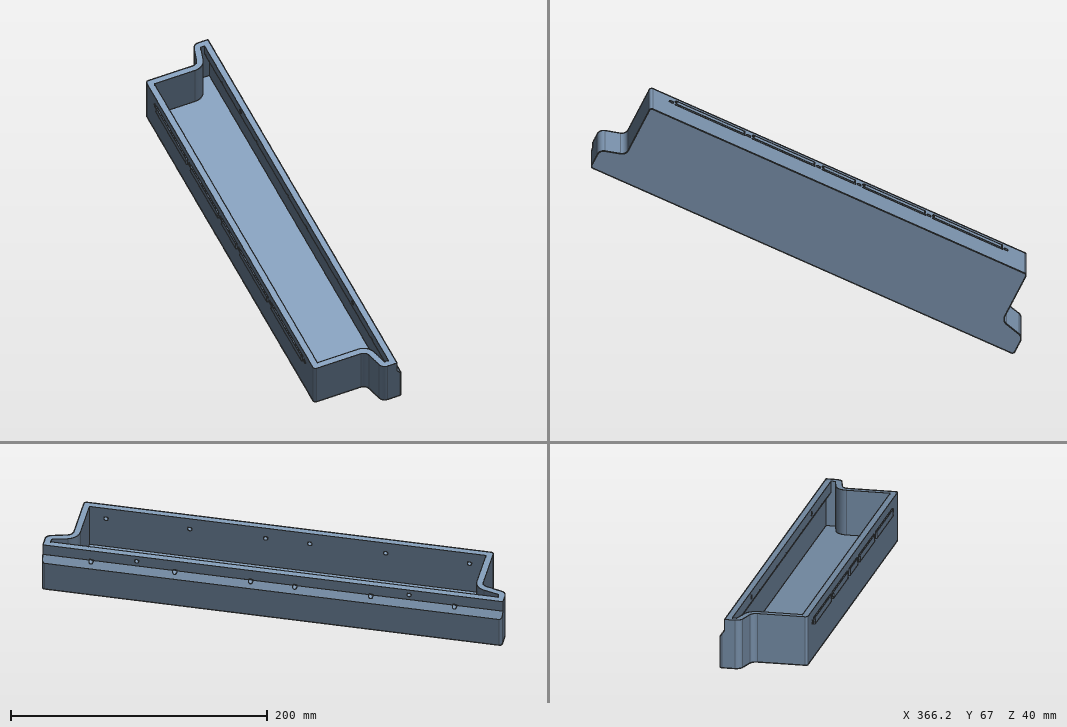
import cadquery as cq
import math

length = 366.2
height = 40.0
overall_depth = 67.0
bar_rise = 1.0
tray_depth = overall_depth - bar_rise

wall = 5.0
floor_thickness = 3.3
base_chamfer = 0.5

box_half_length = 163.0
shoulder_y = 16.5
shoulder_angle = math.radians(15)
shoulder_radius = 5.5
neck_radius = 5.5
corner_radius = 2.2

step_inset = 4.0
step_top = 9.0
step_drop = 5.5

screw_hole_half_spans = [144.5, 78.0, 17.5]
screw_hole_diameter = 3.4
screw_hole_z = -10.0

small_hole_half_span = 108.5
small_hole_diameter = 3.3
small_hole_z = -4.8

bar_height = 5.5
bar_clearance_base_radius = 4.0
bar_clearance_top_radius = 4.5

screw_hole_xs = sorted([-x for x in screw_hole_half_spans] + screw_hole_half_spans)


def plan_points(inset):
    """Right half of the plan outline from the rear to the front, with walls moved in by inset."""
    half_length = length / 2 - inset
    box_half = box_half_length - inset
    slope = math.tan(shoulder_angle)
    shoulder = shoulder_y - inset / math.cos(shoulder_angle) + inset * slope
    neck = shoulder + (half_length - box_half) * slope
    return [
        (half_length, 0),
        (half_length, -shoulder),
        (box_half, -neck),
        (box_half, inset - tray_depth),
    ]


def plan_prism(inset, bottom_z, top_z):
    """Upright prism on the full plan outline."""
    right = plan_points(inset)
    left = [(-x, y) for x, y in reversed(right)]
    base = cq.Workplane("XY").workplane(offset=bottom_z)
    return base.polyline(right + left).close().extrude(top_z - bottom_z)


def round_corners(body, corner, radius):
    """Fillet the upright edges at a plan corner and at its mirror image."""
    x, y = corner
    reach = 0.5
    for edge_x in (x, -x):
        around_edge = cq.selectors.BoxSelector(
            (edge_x - reach, y - reach, -height), (edge_x + reach, y + reach, height)
        )
        body = body.edges("|Z").edges(around_edge).fillet(radius)
    return body


def behind_rear_wall(offset, top_z):
    """Space behind the stepped rear profile, with the profile moved forward by offset."""
    upper_y = -step_inset - offset
    profile = [
        (upper_y, top_z),
        (upper_y, -step_top),
        (-offset, -step_top - step_drop),
        (-offset, -2 * height),
        (length, -2 * height),
        (length, top_z),
    ]
    return cq.Workplane("YZ").polyline(profile).close().extrude(length, both=True)


def make_shell_outside():
    """Solid tray block with rounded corners, chamfered base and stepped rear."""
    rear, shoulder, neck, front = plan_points(0)
    block = plan_prism(0, -height, 0)
    block = round_corners(block, shoulder, shoulder_radius)
    block = round_corners(block, neck, neck_radius)
    block = round_corners(block, rear, corner_radius)
    block = round_corners(block, front, corner_radius)
    block = block.faces("<Z").edges().chamfer(base_chamfer)
    return block.cut(behind_rear_wall(0, height))


def make_cavity():
    """Open-topped inside of the tray; its rear follows the step in the wall."""
    neck = plan_points(wall)[2]
    cavity = plan_prism(wall, floor_thickness - height, height)
    cavity = round_corners(cavity, neck, neck_radius + wall)
    return cavity.cut(behind_rear_wall(wall, 2 * height))


def make_bar(start_x, end_x):
    """Raised bar between two screw holes, cut back in a cone around each of them."""
    bar = cq.Workplane("XY").box(end_x - start_x, bar_rise, bar_height)
    bar = bar.translate(((start_x + end_x) / 2, -tray_depth - bar_rise / 2, screw_hole_z))
    for hole_x in (start_x, end_x):
        clearance = cq.Solid.makeCone(
            bar_clearance_base_radius,
            bar_clearance_top_radius,
            bar_rise,
            cq.Vector(hole_x, -tray_depth, screw_hole_z),
            cq.Vector(0, -1, 0),
        )
        bar = bar.cut(cq.Workplane("XY").add(clearance))
    return bar


def make_holes(xs, z, diameter, reach):
    """Round holes along Y, running forward from the rear plane by reach."""
    centers = [(x, z) for x in xs]
    return cq.Workplane("XZ").pushPoints(centers).circle(diameter / 2).extrude(reach)


def make_tray():
    tray = make_shell_outside().cut(make_cavity())
    for start_x, end_x in zip(screw_hole_xs, screw_hole_xs[1:]):
        tray = tray.union(make_bar(start_x, end_x))
    screw_holes = make_holes(screw_hole_xs, screw_hole_z, screw_hole_diameter, overall_depth)
    small_hole_xs = [-small_hole_half_span, small_hole_half_span]
    rear_wall_reach = step_inset + 2 * wall
    small_holes = make_holes(small_hole_xs, small_hole_z, small_hole_diameter, rear_wall_reach)
    return tray.cut(screw_holes).cut(small_holes)


tray = make_tray()

result = cq.Compound.makeCompound([tray.solids().val()])